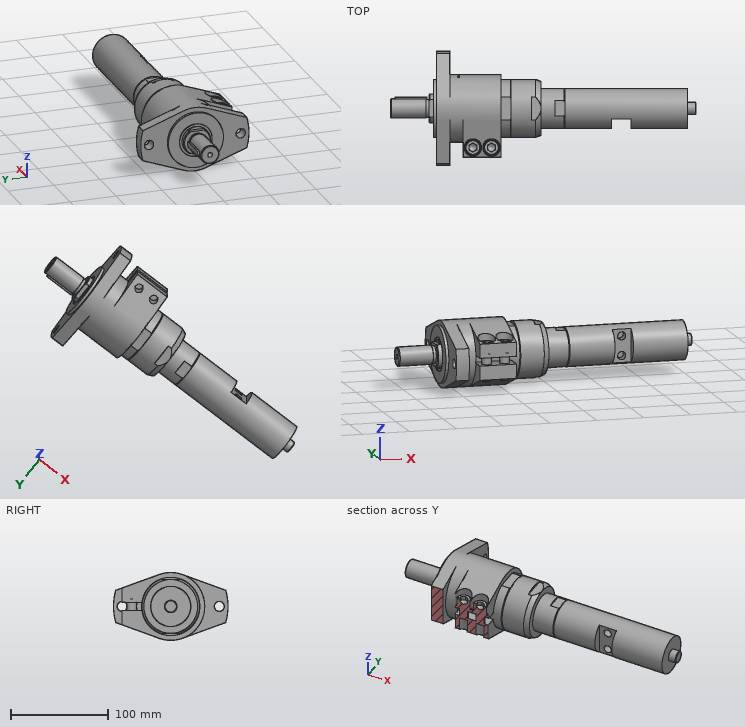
import cadquery as cq
import math

shaft_d = 20.0
shaft_chamfer = 1.0
shaft_end_x = 36.5
neck_d = 18.8
collar_x = 39.5
collar_d = 29.8
collar_chamfer = 1.0
collar_flat_z = 12.0
center_hole_d = 5.0
center_hole_depth = 5.0

key_start_x = 4.7
key_end_x = 37.5
key_width = 6.3
key_top_y = 11.5
key_bottom_y = 6.0

pilot_x = 44.0
pilot_d = 60.0
seal_recess_d = 35.5
seal_recess_depth = 1.0
flange_x = 47.0
flange_end_x = 60.8
flange_length = 118.0
mount_hole_d = 10.0
mount_hole_y = 50.0

body_d = 70.0
flank_angle = 20
body_end_x = 113.5
clamp_x = 74.5
clamp_front_y = -50.2
clamp_slit = 8.0

pin_hole_d = 2.0
pin_hole_x = 70.0
pin_hole_y = 32.5
pin_hole_bottom_z = 9.5

screw_pitch = 19.0
screw_y = -40.0
screw_d = 10.5
tapped_hole_d = 8.5
head_d = 16.0
counterbore_d = 18.0
counterbore_floor_z = 7.8
head_top_z = 18.8
head_chamfer = 1.0
hex_corner_d = 9.5
hex_depth = 4.0
socket_tip_depth = 2.5

relief_width = 1.0
relief_depth = 0.3

ring_x = 123.8
ring_d = 60.0
ring_flat_z = 27.5
ring_taper_x = 149.0
ring_flat_x = 144.8
ring_end_x = 154.5

barrel_d = 41.5
barrel_flat_x = 168.7
barrel_flat_end_x = 179.0
barrel_flat_z = 19.0
barrel_end_x = 305.0
stub_d = 13.0
stub_chamfer = 0.5
total_length = 313.5

notch_x = 227.0
notch_end_x = 246.7
notch_floor_y = -11.0
notch_hole_d = 8.5
notch_hole_z = 10.5
notch_hole_depth = 9.5


def cylinder(diameter, start_x, end_x):
    return cq.Workplane("YZ", origin=(start_x, 0, 0)).circle(diameter / 2).extrude(end_x - start_x)


def block(x_range, y_range, z_range):
    lows, highs = zip(x_range, y_range, z_range)
    sizes = [high - low for low, high in zip(lows, highs)]
    return cq.Workplane("XY").box(*sizes, centered=False).translate(lows)


def cut_flats(solid, start_x, end_x, flat_z):
    """Mill two opposite flats at z = +-flat_z between two stations."""
    reach = body_d
    for bottom, top in ((flat_z, reach), (-reach, -flat_z)):
        solid = solid.cut(block((start_x, end_x), (-reach, reach), (bottom, top)))
    return solid


def flank_z(y):
    """Height at y of the line that touches the body circle at the flank angle."""
    angle = math.radians(flank_angle)
    return (body_d / 2 - abs(y) * math.sin(angle)) / math.cos(angle)


def cut_relief(solid, diameter, end_x):
    """Turn a relief groove that ends at the shoulder end_x."""
    start_x = end_x - relief_width
    sleeve = cylinder(body_d, start_x, end_x).cut(cylinder(diameter - 2 * relief_depth, start_x, end_x))
    return solid.cut(sleeve)


def make_shaft():
    shaft = cylinder(shaft_d, 0, shaft_end_x).faces("<X").chamfer(shaft_chamfer)
    shaft = shaft.union(cylinder(neck_d, shaft_end_x, collar_x))
    collar = cylinder(collar_d, collar_x, flange_x).faces("<X").chamfer(collar_chamfer)
    shaft = shaft.union(cut_flats(collar, collar_x, pilot_x, collar_flat_z))
    key = (
        cq.Workplane("XZ", origin=((key_start_x + key_end_x) / 2, key_bottom_y, 0))
        .slot2D(key_end_x - key_start_x, key_width)
        .extrude(key_bottom_y - key_top_y)
    )
    center_hole = cq.Solid.makeCone(
        center_hole_d / 2, 0, center_hole_depth, pnt=cq.Vector(0, 0, 0), dir=cq.Vector(1, 0, 0)
    )
    return shaft.union(key).cut(center_hole)


def make_flange():
    """Pilot disc and flange: the ears taper along the flanks and join a round middle."""
    pilot = cylinder(pilot_d, pilot_x, flange_x)
    pilot = pilot.cut(cylinder(seal_recess_d, pilot_x, pilot_x + seal_recess_depth))
    half = flange_length / 2
    diamond = (
        cq.Workplane("YZ", origin=(flange_x, 0, 0))
        .polyline([
            (-half, flank_z(half)), (0, flank_z(0)), (half, flank_z(half)),
            (half, -flank_z(half)), (0, -flank_z(0)), (-half, -flank_z(half)),
        ])
        .close()
        .extrude(flange_end_x - flange_x)
    )
    tips = diamond.intersect(cylinder(flange_length, flange_x, flange_end_x))
    nose_width = body_d * math.sin(math.radians(flank_angle))
    nose = block((flange_x, flange_end_x), (-nose_width / 2, nose_width / 2), (-body_d, body_d))
    flange = tips.cut(nose).union(cylinder(body_d, flange_x, flange_end_x))
    for y in (-mount_hole_y, mount_hole_y):
        hole = cylinder(mount_hole_d, flange_x, flange_end_x).translate((0, y, 0))
        flange = flange.cut(hole)
    return flange.union(pilot)


def make_clamp_body():
    tangent_y = -body_d / 2 * math.sin(math.radians(flank_angle))
    jaws = (
        cq.Workplane("YZ", origin=(clamp_x, 0, 0))
        .polyline([
            (tangent_y, flank_z(tangent_y)), (clamp_front_y, flank_z(clamp_front_y)),
            (clamp_front_y, -flank_z(clamp_front_y)), (tangent_y, -flank_z(tangent_y)),
        ])
        .close()
        .extrude(body_end_x - clamp_x)
    )
    body = cylinder(body_d, flange_end_x, body_end_x).union(jaws)
    slit = block((clamp_x, body_end_x), (clamp_front_y, 0), (-clamp_slit / 2, clamp_slit / 2))
    body = body.cut(slit.cut(cylinder(ring_d, clamp_x, body_end_x)))
    pin_hole = (
        cq.Workplane("XY", origin=(pin_hole_x, pin_hole_y, pin_hole_bottom_z))
        .circle(pin_hole_d / 2)
        .extrude(body_d / 2)
    )
    body = body.cut(pin_hole)
    middle_x = (clamp_x + body_end_x) / 2
    for x in (middle_x - screw_pitch / 2, middle_x + screw_pitch / 2):
        body = fit_screw(body, x)
    return body


def rod(diameter, x, bottom_z, top_z):
    return cq.Workplane("XY", origin=(x, screw_y, bottom_z)).circle(diameter / 2).extrude(top_z - bottom_z)


def fit_screw(body, x):
    """Drill one screw hole through both jaws and seat a socket-head screw in it."""
    body = body.cut(rod(counterbore_d, x, counterbore_floor_z, body_d / 2))
    body = body.cut(rod(tapped_hole_d, x, -body_d / 2, 0))
    head = rod(head_d, x, counterbore_floor_z, head_top_z).faces(">Z").edges().chamfer(head_chamfer)
    socket = (
        cq.Workplane("XY", origin=(x, screw_y, head_top_z))
        .transformed(rotate=(0, 0, 90))
        .polygon(6, hex_corner_d)
        .extrude(-hex_depth)
    )
    hex_flat_d = hex_corner_d * math.cos(math.pi / 6)
    socket_tip = cq.Solid.makeCone(
        hex_flat_d / 2, 0, socket_tip_depth,
        pnt=cq.Vector(x, screw_y, head_top_z - hex_depth), dir=cq.Vector(0, 0, -1),
    )
    head = head.cut(socket).cut(socket_tip)
    shank = rod(screw_d, x, -counterbore_floor_z, counterbore_floor_z)
    return body.union(head).union(shank)


def make_gear_housing():
    neck = cut_flats(cylinder(ring_d, body_end_x, ring_x), body_end_x, ring_x, ring_flat_z)
    neck = cut_relief(neck, ring_d, ring_x)
    ring = (
        cylinder(ring_d, ring_x, ring_end_x)
        .faces(">X")
        .chamfer(ring_end_x - ring_taper_x, ring_d / 2 - ring_flat_z)
    )
    return neck.union(cut_flats(ring, ring_flat_x, ring_end_x, ring_flat_z))


def make_barrel():
    barrel = cylinder(barrel_d, ring_end_x, barrel_end_x)
    barrel = cut_flats(barrel, barrel_flat_x, barrel_flat_end_x, barrel_flat_z)
    barrel = cut_relief(barrel, barrel_d, barrel_flat_end_x)
    stub = cylinder(stub_d, barrel_end_x, total_length).faces(">X").chamfer(stub_chamfer)
    notch = block((notch_x, notch_end_x), (-barrel_d, notch_floor_y), (-barrel_d, barrel_d))
    barrel = barrel.cut(notch)
    middle_x = (notch_x + notch_end_x) / 2
    for z in (-notch_hole_z, notch_hole_z):
        hole = (
            cq.Workplane("XZ", origin=(middle_x, notch_floor_y, z))
            .circle(notch_hole_d / 2)
            .extrude(-notch_hole_depth)
        )
        barrel = barrel.cut(hole)
    return barrel.union(stub)


result = make_flange().union(make_shaft()).union(make_clamp_body())
result = result.union(make_gear_housing()).union(make_barrel())